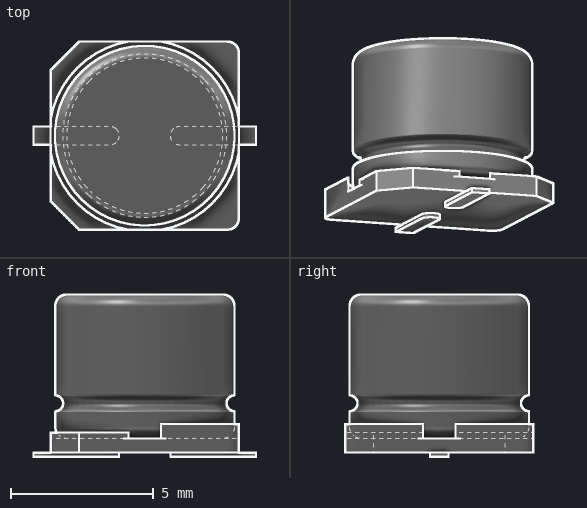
import cadquery as cq
import math

total_height = 5.7
lead_span = 7.8

lead_width = 0.65
lead_thickness = 0.15
lead_inner_end = 0.9

base_size = 6.6
base_bottom = lead_thickness
base_low_top = 0.85
base_high_top = 1.15
base_chamfer = 1.0
base_corner_radius = 0.4

seat_radius = 3.35
seat_floor = 0.65

can_diameter = 6.3
can_radius = can_diameter / 2
can_edge_radius = 0.42

groove_center_height = 1.88
groove_depth = 0.28
groove_half_width = 0.27
lip_radius = 0.05


def make_base():
    """Square plate: -X corners chamfered, +X corners rounded, +X half taller."""
    plate = (
        cq.Workplane("XY")
        .workplane(offset=base_bottom)
        .rect(base_size, base_size)
        .extrude(base_high_top - base_bottom)
        .edges("|Z and <X")
        .chamfer(base_chamfer)
        .edges("|Z and >X")
        .fillet(base_corner_radius)
    )
    low_half_cut = (
        cq.Workplane("XY")
        .workplane(offset=base_low_top)
        .center(-base_size / 4, 0)
        .rect(base_size / 2, base_size)
        .extrude(base_high_top - base_low_top)
    )
    seat_cut = (
        cq.Workplane("XY")
        .workplane(offset=seat_floor)
        .circle(seat_radius)
        .extrude(base_high_top - seat_floor)
    )
    return plate.cut(low_half_cut).cut(seat_cut)


def arc_mid_inset(radius):
    """Inset of a quarter round's midpoint from each of the two sides it joins."""
    return radius * (1 - math.cos(math.radians(45)))


def make_can():
    """Revolved can with rounded ends and a lipped crimp groove."""
    lip_inner_radius = can_radius - lip_radius
    groove_bottom = groove_center_height - groove_half_width
    groove_top = groove_center_height + groove_half_width
    lip_mid_offset = arc_mid_inset(lip_radius)
    lip_mid_radius = can_radius - lip_mid_offset
    edge_mid_offset = arc_mid_inset(can_edge_radius)
    edge_mid_radius = can_radius - edge_mid_offset
    flat_radius = can_radius - can_edge_radius

    profile = (
        cq.Workplane("XZ")
        .moveTo(0, seat_floor)
        .lineTo(flat_radius, seat_floor)
        .threePointArc(
            (edge_mid_radius, seat_floor + edge_mid_offset),
            (can_radius, seat_floor + can_edge_radius),
        )
        .lineTo(can_radius, groove_bottom - lip_radius)
        .threePointArc(
            (lip_mid_radius, groove_bottom - lip_mid_offset),
            (lip_inner_radius, groove_bottom),
        )
        .threePointArc(
            (can_radius - groove_depth, groove_center_height),
            (lip_inner_radius, groove_top),
        )
        .threePointArc(
            (lip_mid_radius, groove_top + lip_mid_offset),
            (can_radius, groove_top + lip_radius),
        )
        .lineTo(can_radius, total_height - can_edge_radius)
        .threePointArc(
            (edge_mid_radius, total_height - edge_mid_offset),
            (flat_radius, total_height),
        )
        .lineTo(0, total_height)
        .close()
    )
    return profile.revolve(360, (0, 0, 0), (0, 1, 0))


def make_lead(side):
    """Flat lead under the base; side is +1 or -1 along X, inner end is round."""
    half_width = lead_width / 2
    outer_x = side * lead_span / 2
    inner_x = side * lead_inner_end
    round_start_x = side * (lead_inner_end + half_width)
    return (
        cq.Workplane("XY")
        .moveTo(outer_x, -half_width)
        .lineTo(round_start_x, -half_width)
        .threePointArc((inner_x, 0), (round_start_x, half_width))
        .lineTo(outer_x, half_width)
        .close()
        .extrude(lead_thickness)
    )


result = make_base().union(make_can())
for lead_side in (-1, 1):
    result = result.union(make_lead(lead_side))